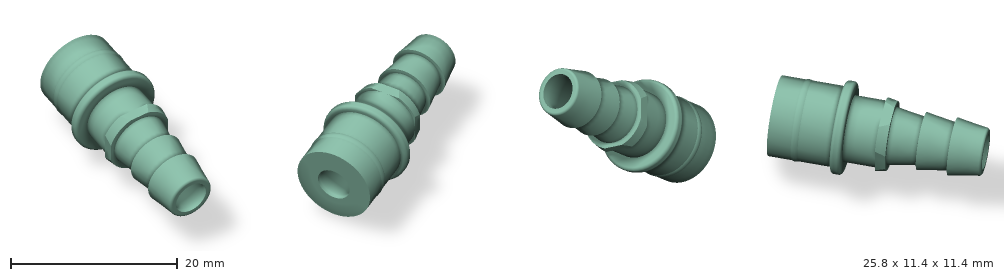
import cadquery as cq
import math

OVERALL_LENGTH = 25.8
BORE_RADIUS = 2.15

PLUG_RADIUS = 4.93
BEAD_CENTER_X = 3.34
BEAD_WIDTH = 0.86
BEAD_HEIGHT = 0.09

FLANGE_START_X = 7.8
FLANGE_END_X = 9.12
FLANGE_RADIUS = 5.7
FLANGE_FILLET = 0.4

NECK_RADIUS = 4.07
COLLAR_START_X = 13.08
COLLAR_END_X = 14.35
COLLAR_START_RADIUS = 4.49
COLLAR_END_RADIUS = 4.25
FLATS_WIDTH = 2 * NECK_RADIUS

BARB_START_XS = (COLLAR_END_X, 17.98, 21.78)
BARB_CREST_RADIUS = 3.55
BARB_TAPER_DEGREES = 9.3
TIP_FILLET = 0.3


def cylinder(start_x, end_x, radius):
    """Solid cylinder along X."""
    return cq.Workplane("YZ", origin=(start_x, 0, 0)).circle(radius).extrude(end_x - start_x)


def cone(start_x, end_x, start_radius, end_radius):
    """Solid truncated cone along X."""
    profile = [(start_x, 0), (start_x, start_radius), (end_x, end_radius), (end_x, 0)]
    return cq.Workplane("XY").polyline(profile).close().revolve(360, (0, 0, 0), (1, 0, 0))


def sealing_bead():
    """Ring whose crown is an arc rising slightly above the plug."""
    start_x = BEAD_CENTER_X - BEAD_WIDTH / 2
    end_x = BEAD_CENTER_X + BEAD_WIDTH / 2
    return (
        cq.Workplane("XY")
        .moveTo(start_x, 0)
        .lineTo(start_x, PLUG_RADIUS)
        .threePointArc((BEAD_CENTER_X, PLUG_RADIUS + BEAD_HEIGHT), (end_x, PLUG_RADIUS))
        .lineTo(end_x, 0)
        .close()
        .revolve(360, (0, 0, 0), (1, 0, 0))
    )


def stop_flange():
    """Disc with both outer edges rounded."""
    return cylinder(FLANGE_START_X, FLANGE_END_X, FLANGE_RADIUS).edges("%CIRCLE").fillet(FLANGE_FILLET)


def wrench_collar():
    """Tapered collar cut by a square to leave four flats flush with the neck."""
    collar = cone(COLLAR_START_X, COLLAR_END_X, COLLAR_START_RADIUS, COLLAR_END_RADIUS)
    square = (
        cq.Workplane("YZ", origin=(COLLAR_START_X, 0, 0))
        .rect(FLATS_WIDTH, FLATS_WIDTH)
        .extrude(COLLAR_END_X - COLLAR_START_X)
    )
    return collar.intersect(square)


def hose_barb(start_x, end_x):
    """One barb, widest at its start."""
    drop = (end_x - start_x) * math.tan(math.radians(BARB_TAPER_DEGREES))
    return cone(start_x, end_x, BARB_CREST_RADIUS, BARB_CREST_RADIUS - drop)


body = cylinder(0, FLANGE_START_X, PLUG_RADIUS)
body = body.union(sealing_bead())
body = body.union(stop_flange())
body = body.union(cylinder(FLANGE_END_X, COLLAR_START_X, NECK_RADIUS))
body = body.union(wrench_collar())

barb_end_xs = BARB_START_XS[1:] + (OVERALL_LENGTH,)
for barb_start_x, barb_end_x in zip(BARB_START_XS, barb_end_xs):
    body = body.union(hose_barb(barb_start_x, barb_end_x))

body = body.faces(">X").edges().fillet(TIP_FILLET)
result = body.cut(cylinder(0, OVERALL_LENGTH, BORE_RADIUS))